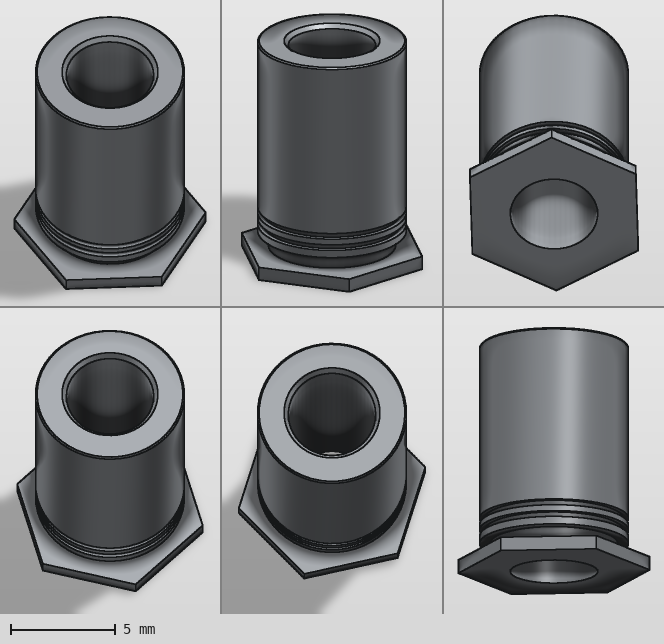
import cadquery as cq
import math

hex_across_flats = 7.92
hex_across_corners = hex_across_flats / math.cos(math.pi / 6)
hex_thickness = 0.65

total_height = 11.11
barrel_radius = 7.11 / 2
neck_radius = 6.1 / 2
groove_radius = 6.6 / 2
neck_top = 1.39
lower_ring_top = 1.75
groove_width = 0.29
upper_ring_width = 0.29
rim_chamfer = 0.08

bore_diameter = 4.17
bore_mouth_diameter = 4.58
bore_chamfer = (bore_mouth_diameter - bore_diameter) / 2


def cylinder(radius, bottom, top):
    return cq.Workplane("XY").workplane(offset=bottom).circle(radius).extrude(top - bottom)


def ring_groove(bottom):
    """Ring of material to remove from the barrel to leave a groove."""
    outer = cylinder(barrel_radius, bottom, bottom + groove_width)
    return outer.cut(cylinder(groove_radius, bottom, bottom + groove_width))


head = cq.Workplane("XY").polygon(6, hex_across_corners).extrude(hex_thickness)
neck = cylinder(neck_radius, 0, neck_top)
barrel = cylinder(barrel_radius, neck_top, total_height).faces(">Z").edges().chamfer(rim_chamfer)

for groove_index in range(2):
    groove_bottom = lower_ring_top + groove_index * (groove_width + upper_ring_width)
    barrel = barrel.cut(ring_groove(groove_bottom))

body = head.union(neck).union(barrel)

bored_body = body.cut(cylinder(bore_diameter / 2, 0, total_height))
bore_mouth_edge = bored_body.faces(">Z").edges(cq.selectors.RadiusNthSelector(0))
result = bore_mouth_edge.chamfer(bore_chamfer)